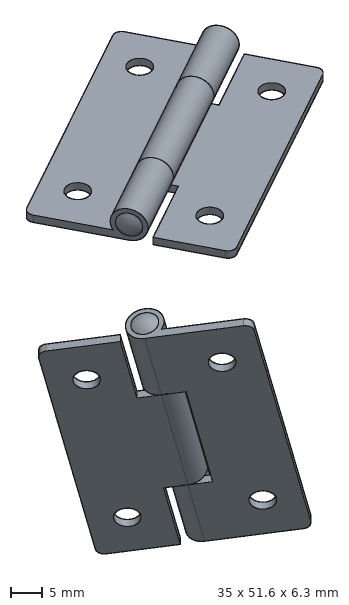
import cadquery as cq

hinge_width = 35.0
pin_length = 51.6
leaf_length = 50.05
leaf_thickness = 1.5
corner_radius = 1.5
barrel_diameter = 6.3
pin_diameter = 4.55
middle_knuckle_length = 22.2
notch_half_width = 3.95
hole_diameter = 4.4
hole_spacing_x = 22.0
hole_spacing_y = 33.95

half_width = hinge_width / 2
half_length = leaf_length / 2
half_middle = middle_knuckle_length / 2
barrel_radius = barrel_diameter / 2
pin_radius = pin_diameter / 2
dome_height = (pin_length - leaf_length) / 2
outer_knuckle_length = half_length - half_middle
outer_knuckle_center = (half_length + half_middle) / 2

leaf_bottom = -barrel_radius


def cylinder_along_y(radius, length, center_y):
    """Solid cylinder on the pin axis."""
    return (
        cq.Workplane("XZ", origin=(0, center_y, 0))
        .circle(radius)
        .extrude(length / 2, both=True)
    )


def make_plate(side):
    """Flat plate from the pin axis outward, with rounded outer corners and screw holes."""
    outer_edges = "|Z and <X" if side < 0 else "|Z and >X"
    hole_points = [(side * hole_spacing_x / 2, end * hole_spacing_y / 2) for end in (-1, 1)]
    plate = (
        cq.Workplane("XY", origin=(side * half_width / 2, 0, leaf_bottom))
        .rect(half_width, leaf_length)
        .extrude(leaf_thickness)
        .edges(outer_edges)
        .fillet(corner_radius)
    )
    holes = (
        cq.Workplane("XY", origin=(0, 0, leaf_bottom))
        .pushPoints(hole_points)
        .circle(hole_diameter / 2)
        .extrude(leaf_thickness)
    )
    return plate.cut(holes)


def make_leaf(side, knuckles, notches):
    """One leaf; knuckles and notches are lists of (center Y, length) along the pin axis."""
    leaf = make_plate(side)
    for center_y, length in notches:
        notch = cq.Workplane("XY", origin=(0, center_y, 0)).box(
            2 * notch_half_width, length, barrel_diameter
        )
        leaf = leaf.cut(notch)
    for center_y, length in knuckles:
        leaf = leaf.union(cylinder_along_y(barrel_radius, length, center_y))
    return leaf.cut(cylinder_along_y(pin_radius, leaf_length, 0))


def make_pin():
    """Round pin with a shallow spherical dome on each end."""
    half_pin = pin_length / 2
    dome_radius = (pin_radius**2 + dome_height**2) / (2 * dome_height)
    dome_center = half_pin - dome_radius
    mid_x = pin_radius / 2
    mid_y = dome_center + (dome_radius**2 - mid_x**2) ** 0.5
    return (
        cq.Workplane("XY")
        .moveTo(0, -half_pin)
        .threePointArc((mid_x, -mid_y), (pin_radius, -half_length))
        .lineTo(pin_radius, half_length)
        .threePointArc((mid_x, mid_y), (0, half_pin))
        .close()
        .revolve(360, (0, 0, 0), (0, 1, 0))
    )


middle_span = [(0, middle_knuckle_length)]
outer_spans = [(end * outer_knuckle_center, outer_knuckle_length) for end in (-1, 1)]

left_leaf = make_leaf(-1, knuckles=outer_spans, notches=middle_span)
right_leaf = make_leaf(1, knuckles=middle_span, notches=outer_spans)
pin = make_pin()

result = cq.Compound.makeCompound([left_leaf.val(), right_leaf.val(), pin.val()])